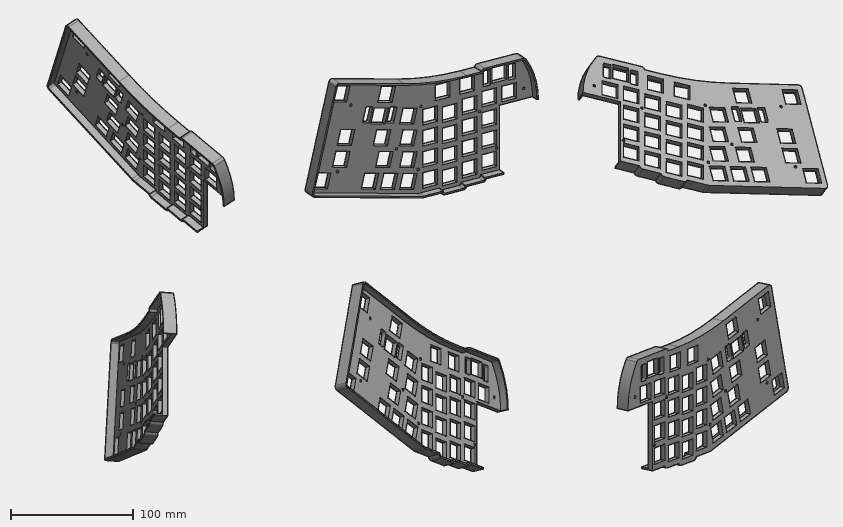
import cadquery as cq
import math


keys_per_column = 4
column_span = 57.2
key_pitch = column_span / (keys_per_column - 1)
half_cell = key_pitch / 2
stagger = key_pitch / 8
key_hole = 14.0

plate_thickness = 4.4
wall_depth = 6.8
clearance = 0.94
wall = 1.48
extra_radius = 0.76
fold_radius = 13
top_curve_radius = 252.7

column_x = 117.6
bottom_z = 14.5
column_rise = [0, -stagger, 0, stagger]
right_gap = 0.2
upper_row_along = (0.625, 1.875)

overall_length = 218.2
wing_arc_radius = 69.8

tilt = math.radians(14)
cluster_x = 96.7
cluster_z = 17.0
cluster_left = -4.5
cluster_rows = 4
cluster_keys = [
    (0, 0), (-1, 0), (-2, 0), (cluster_left, 0),
    (-0.25, 1), (-1.5, 1), (-3.75, 1),
    (-0.5, 2), (-1.875, 2), (-3.75, 2),
    (-0.75, 3), (-2.25, 3),
    (-2.125, cluster_rows), (cluster_left, cluster_rows),
]
cluster_wide_key = (-2.25, 3)

slot_width = 6.8
slot_height = 14.2
slot_radius = 1.0
slot_offset = 12.0
slot_shift = 1.0

screw_diameter = 2.2
screw_positions = [
    (41.2, 99.5), (28.4, 42.5), (85, 49.3), (106.0, 25.5),
    (108.9, 81.8), (165.5, 63.5), (181.8, 26.5), (208.0, 74.0),
]

total_depth = plate_thickness + wall_depth
fourth_column_x = column_x + 3 * key_pitch
step_x = fourth_column_x - half_cell
right_edge_x = fourth_column_x + half_cell + right_gap
fourth_column_z = bottom_z + column_rise[3]
wing_row_z = fourth_column_z + column_span
wing_bottom_z = wing_row_z - half_cell
wing_row_top_z = wing_row_z + key_pitch
upper_row_z = bottom_z + column_span + key_pitch
wide_key_x = fourth_column_x + half_cell


def from_cluster(along, up):
    """Turn a place on the cluster's tilted axes into X and Z."""
    x = cluster_x + along * math.cos(tilt) + up * math.sin(tilt)
    z = cluster_z - along * math.sin(tilt) + up * math.cos(tilt)
    return x, z


corner_x, _ = from_cluster(cluster_left * key_pitch - half_cell + extra_radius, extra_radius - half_cell)
wing_tip_x = corner_x - (clearance + wall + extra_radius) + overall_length


def prism(outline, depth):
    """Close the outline and extrude it from Y = 0 towards -Y."""
    return outline.close().extrude(depth)


def main_area(margin, depth):
    """Tilted cluster and first three columns, grown by the margin."""
    left = cluster_left * key_pitch - half_cell - margin
    low = -half_cell - margin
    high = cluster_rows * key_pitch + half_cell + margin
    base_z = bottom_z - half_cell - margin
    top_z = upper_row_z + half_cell + margin
    right_x = step_x + margin

    fold_along = (cluster_z + low * math.cos(tilt) - base_z) / math.sin(tilt)

    radius = top_curve_radius - margin
    centre_z = top_z + radius
    centre_x = cluster_x + (high + radius - (centre_z - cluster_z) * math.cos(tilt)) / math.sin(tilt)

    def arc_point(angle):
        return centre_x - radius * math.sin(angle), centre_z - radius * math.cos(angle)

    outline = (
        cq.Workplane("XZ")
        .moveTo(*from_cluster(left, low))
        .lineTo(*from_cluster(fold_along, low))
        .lineTo(right_x, base_z)
        .lineTo(right_x, top_z)
        .lineTo(centre_x, top_z)
        .threePointArc(arc_point(tilt / 2), arc_point(tilt))
        .lineTo(*from_cluster(left, high))
    )
    corner = margin + extra_radius
    fold_x, _ = from_cluster(fold_along, low)
    fold = cq.NearestToPointSelector((fold_x, -depth / 2, base_z))
    return (
        prism(outline, depth)
        .edges("|Y").edges(fold).fillet(fold_radius)
        .edges("|Y").edges("<X").fillet(corner)
        .edges("|Y").edges(">Z").fillet(corner)
        .edges("|Y").edges(">X").edges("<Z").fillet(corner)
    )


def second_column_bump(margin, depth):
    """Lower end of the second column, which hangs below its neighbours."""
    centre_x = column_x + key_pitch
    half_width = half_cell + margin
    low_z = bottom_z + column_rise[1] - half_cell - margin
    outline = cq.Workplane("XZ").polyline([
        (centre_x - half_width, low_z),
        (centre_x + half_width, low_z),
        (centre_x + half_width, bottom_z),
        (centre_x - half_width, bottom_z),
    ])
    return prism(outline, depth).edges("|Y").edges("<Z").fillet(margin + extra_radius)


def fourth_column(margin, depth):
    """Fourth column below the wing; its right side has no wall."""
    low_z = fourth_column_z - half_cell - margin
    outline = cq.Workplane("XZ").polyline([
        (step_x, low_z),
        (right_edge_x, low_z),
        (right_edge_x, wing_row_z),
        (step_x, wing_row_z),
    ])
    return prism(outline, depth)


def thumb_wing(margin, depth):
    """Upper right wing with a round end; its lower side has no wall."""
    left_x = step_x - margin
    top_z = wing_row_top_z + half_cell + margin
    inset = clearance + wall - margin
    radius = wing_arc_radius - inset
    centre_x = wing_tip_x - wing_arc_radius
    end_angle = math.asin((top_z - wing_bottom_z) / radius)

    def arc_point(angle):
        return centre_x + radius * math.cos(angle), wing_bottom_z + radius * math.sin(angle)

    outline = (
        cq.Workplane("XZ")
        .moveTo(left_x, wing_bottom_z)
        .lineTo(*arc_point(0))
        .threePointArc(arc_point(end_angle / 2), arc_point(end_angle))
        .lineTo(left_x, top_z)
    )
    return prism(outline, depth).edges("|Y").edges(">Z").fillet(margin + extra_radius)


def body(margin, depth):
    """All areas joined, grown by the margin, from the back (Y = 0) towards -Y."""
    return (
        main_area(margin, depth)
        .union(second_column_bump(margin, depth))
        .union(fourth_column(margin, depth))
        .union(thumb_wing(margin, depth))
    )


def cutter(width, height):
    """Rectangular cutter through the whole depth, centred on the Y axis."""
    return cq.Workplane("XZ").rect(width, height).extrude(total_depth)


def cut_openings(part, shape, places, angle=0):
    """Cut the shape at each (x, z), turned clockwise by the angle."""
    turned = shape.rotate((0, 0, 0), (0, 1, 0), math.degrees(angle))
    for x, z in places:
        part = part.cut(turned.translate((x, 0, z)))
    return part


cavity = body(clearance, wall_depth).translate((0, -plate_thickness, 0))
result = body(clearance + wall, total_depth).cut(cavity)

upright_keys = [
    (column_x + column * key_pitch, bottom_z + rise + row * key_pitch)
    for column, rise in enumerate(column_rise)
    for row in range(keys_per_column)
]
upright_keys += [
    (fourth_column_x + key_pitch, wing_row_z),
    (wide_key_x, wing_row_top_z),
]
upright_keys += [(column_x + along * key_pitch, upper_row_z) for along in upper_row_along]
key_cutter = cutter(key_hole, key_hole)
result = cut_openings(result, key_cutter, upright_keys)

tilted_keys = [from_cluster(along * key_pitch, up * key_pitch) for along, up in cluster_keys]
result = cut_openings(result, key_cutter, tilted_keys, tilt)

slot_cutter = cutter(slot_width, slot_height).edges("|Y").fillet(slot_radius)
wide_along, wide_up = (pitches * key_pitch for pitches in cluster_wide_key)
sides = (-slot_offset, slot_offset)
wing_slots = [(wide_key_x + side, wing_row_top_z - slot_shift) for side in sides]
cluster_slots = [from_cluster(wide_along + side, wide_up + slot_shift) for side in sides]
result = cut_openings(result, slot_cutter, wing_slots)
result = cut_openings(result, slot_cutter, cluster_slots, tilt)

screw_cutter = cq.Workplane("XZ").circle(screw_diameter / 2).extrude(total_depth)
result = cut_openings(result, screw_cutter, screw_positions)